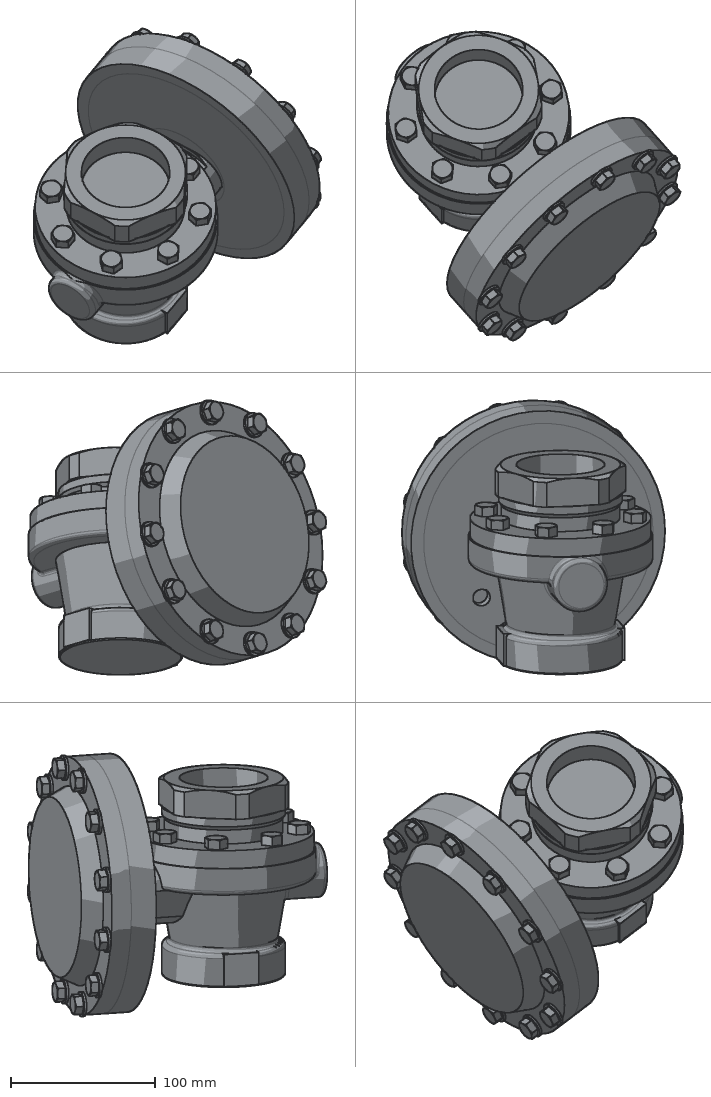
import cadquery as cq
import math


overall_length = 191.9
overall_width = 179.4

valve_half_height = 69.6
body_top_radius = 44.9
body_foot_radius = 37.8
body_foot_z = -42.4
socket_radius = 42.8
socket_top_z = -45.9
socket_round = 3.0
socket_chamfer = 1.0
pad_width = 25.0

flange_joint_z = 19.2
lower_flange_radius = 63.7
lower_flange_round = 3.5
upper_flange_radius = 62.5
upper_flange_top_z = 31.8
flange_bolt_count = 8
flange_bolt_circle_radius = 52.4
flange_bolt_across_corners = 16.1
flange_bolt_height = 7.0

neck_radius = 41.0
collar_taper_start_z = 41.6
collar_taper_end_z = 44.3
nut_bottom_z = 49.9
nut_across_flats = 82.9
nut_corner_radius = 45.3
nut_face_radius = nut_across_flats / 2
bore_radius = 30.5
bore_depth = 16.7

boss_radius = 19.0
boss_end_y = -70.0
boss_end_round = 3.0
boss_root_round = 3.0

actuator_back_y = boss_end_y + overall_length
actuator_rear_y = 108.0
actuator_joint_y = 94.2
actuator_rim_y = 76.0
actuator_face_y = 71.2
actuator_radius = overall_width / 2
actuator_cover_radius = 89.6
dome_foot_radius = 69.3
dome_top_radius = 62.5
cone_outer_radius = 81.0
cone_inner_radius = 34.5
actuator_bolt_count = 12
actuator_bolt_circle_radius = 82.0
actuator_bolt_across_corners = 14.8
actuator_bolt_height = 5.8
washer_radius = 8.6
washer_thickness = 1.7
vent_radius = 6.0
vent_distance = 57.2
vent_angle = math.radians(45)
vent_depth = 11.5

arm_half_width = 33.0
arm_round = 23.0
arm_bottom_radius = 30.0
arm_corner_z = -21.7
arm_clearance_radius = 71.2

hexagon_chamfer_angle = math.radians(30)
flats_per_corners = math.cos(math.pi / 6)


def chamfered_hexagon(across_corners, corner_radius, face_radius, height):
    """Upright hexagon on z = 0 whose corners are turned off and whose top is coned at 30 degrees."""
    cone_drop = (corner_radius - face_radius) * math.tan(hexagon_chamfer_angle)
    turned = (
        cq.Workplane("XZ")
        .polyline([
            (0, 0),
            (corner_radius, 0),
            (corner_radius, height - cone_drop),
            (face_radius, height),
            (0, height),
        ])
        .close()
        .revolve(360, (0, 0, 0), (0, 1, 0))
    )
    return cq.Workplane("XY").polygon(6, across_corners).extrude(height).intersect(turned)


def bolt_head(across_corners, height):
    """Full hexagon with its top coned down to the circle that touches the flats."""
    corner_radius = across_corners / 2
    return chamfered_hexagon(across_corners, corner_radius, corner_radius * flats_per_corners, height)


def make_lower_valve():
    """Lower flange, tapered body, end socket and front boss, blended and cut off at the flange joint."""
    blend_top_z = 2 * flange_joint_z
    socket_shoulder_radius = socket_radius - socket_round
    foot_step = socket_shoulder_radius - body_foot_radius
    foot_drop = body_foot_z - socket_top_z
    foot_blend_radius = (foot_step**2 + foot_drop**2) / (2 * foot_drop)
    shell = (
        cq.Workplane("XZ")
        .moveTo(0, -valve_half_height)
        .lineTo(socket_radius - socket_chamfer, -valve_half_height)
        .lineTo(socket_radius, -valve_half_height + socket_chamfer)
        .lineTo(socket_radius, socket_top_z - socket_round)
        .radiusArc((socket_shoulder_radius, socket_top_z), -socket_round)
        .radiusArc((body_foot_radius, body_foot_z), foot_blend_radius)
        .lineTo(body_top_radius, 0)
        .lineTo(lower_flange_radius - lower_flange_round, 0)
        .radiusArc((lower_flange_radius, lower_flange_round), -lower_flange_round)
        .lineTo(lower_flange_radius, blend_top_z)
        .lineTo(0, blend_top_z)
        .close()
        .revolve(360, (0, 0, 0), (0, 1, 0))
    )
    boss = (
        cq.Workplane("XZ")
        .circle(boss_radius)
        .extrude(-boss_end_y)
        .faces("<Y")
        .edges()
        .fillet(boss_end_round)
    )
    margin = 0.2
    side = boss_radius + margin
    root_zone = cq.selectors.BoxSelector(
        (-side, -lower_flange_radius - margin, -side),
        (side, -body_foot_radius, side),
        boundingbox=True,
    )
    blended = shell.union(boss).edges(root_zone).edges("not |Y").fillet(boss_root_round)
    above_joint = (
        cq.Workplane("XY", origin=(0, 0, flange_joint_z))
        .circle(2 * lower_flange_radius)
        .extrude(blend_top_z)
    )
    return blended.cut(above_joint)


def make_socket_pads():
    """Flat pads on the two sides of the end socket, tangent to its outside."""
    pad_height = socket_top_z + valve_half_height - socket_chamfer
    return (
        cq.Workplane("XY", origin=(0, 0, socket_top_z - pad_height))
        .rect(2 * socket_radius, pad_width)
        .extrude(pad_height)
    )


def make_upper_valve():
    """Upper flange, neck, collar and bored hexagon nut."""
    turned = (
        cq.Workplane("XZ")
        .polyline([
            (0, flange_joint_z),
            (upper_flange_radius, flange_joint_z),
            (upper_flange_radius, upper_flange_top_z),
            (neck_radius, upper_flange_top_z),
            (neck_radius, collar_taper_start_z),
            (socket_radius, collar_taper_end_z),
            (socket_radius, nut_bottom_z),
            (0, nut_bottom_z),
        ])
        .close()
        .revolve(360, (0, 0, 0), (0, 1, 0))
    )
    nut_across_corners = nut_across_flats / flats_per_corners
    nut_height = valve_half_height - nut_bottom_z
    nut = chamfered_hexagon(nut_across_corners, nut_corner_radius, nut_face_radius, nut_height)
    bore = (
        cq.Workplane("XY", origin=(0, 0, valve_half_height - bore_depth))
        .circle(bore_radius)
        .extrude(bore_depth)
    )
    return turned.union(nut.translate((0, 0, nut_bottom_z))).cut(bore)


def make_flange_bolts():
    """Ring of bolt heads straddling the X and Y axes."""
    pitch = 360 / flange_bolt_count
    head = bolt_head(flange_bolt_across_corners, flange_bolt_height)
    first = head.rotate((0, 0, 0), (0, 0, 1), pitch / 2).translate(
        (flange_bolt_circle_radius, 0, upper_flange_top_z)
    )
    return [
        first.rotate((0, 0, 0), (0, 0, 1), (index + 0.5) * pitch)
        for index in range(flange_bolt_count)
    ]


def make_actuator():
    """Round actuator housing with a shallow conical front and a conical cover."""
    housing = (
        cq.Workplane("XY")
        .polyline([
            (0, actuator_face_y),
            (cone_inner_radius, actuator_face_y),
            (cone_outer_radius, actuator_rim_y),
            (actuator_radius, actuator_rim_y),
            (actuator_radius, actuator_joint_y),
            (actuator_cover_radius, actuator_rear_y),
            (dome_foot_radius, actuator_rear_y),
            (dome_top_radius, actuator_back_y),
            (0, actuator_back_y),
        ])
        .close()
        .revolve(360, (0, 0, 0), (0, 1, 0))
    )
    vent = (
        cq.Workplane("XZ", origin=(0, actuator_face_y + vent_depth, 0))
        .center(-vent_distance * math.cos(vent_angle), -vent_distance * math.sin(vent_angle))
        .circle(vent_radius)
        .extrude(vent_depth)
    )
    return housing.cut(vent)


def make_actuator_bolts():
    """Ring of washers and bolt heads on the back of the actuator rim."""
    pitch = 360 / actuator_bolt_count
    washer = cq.Workplane("XY").circle(washer_radius).extrude(washer_thickness)
    head = bolt_head(actuator_bolt_across_corners, actuator_bolt_height)
    bolt = (
        washer.union(head.translate((0, 0, washer_thickness)))
        .rotate((0, 0, 0), (1, 0, 0), -90)
        .translate((0, actuator_rear_y, 0))
    )
    reach = actuator_bolt_circle_radius
    half_pitch = math.radians(pitch / 2)
    first = bolt.translate((reach * math.cos(half_pitch), 0, reach * math.sin(half_pitch)))
    return [
        first.rotate((0, 0, 0), (0, 1, 0), index * pitch)
        for index in range(actuator_bolt_count)
    ]


def make_arm():
    """Arm along Y: rounded top, sides drawn in below the axis, and a relief around the valve flange."""
    corner_x = math.sqrt(arm_bottom_radius**2 - arm_corner_z**2)
    bar = (
        cq.Workplane("XZ")
        .moveTo(-arm_half_width, 0)
        .radiusArc((-arm_half_width + arm_round, arm_round), arm_round)
        .lineTo(arm_half_width - arm_round, arm_round)
        .radiusArc((arm_half_width, 0), arm_round)
        .lineTo(corner_x, arm_corner_z)
        .threePointArc((0, -arm_bottom_radius), (-corner_x, arm_corner_z))
        .close()
        .extrude(-actuator_rim_y)
    )
    relief = (
        cq.Workplane("XY", origin=(0, 0, flange_joint_z))
        .circle(arm_clearance_radius)
        .extrude(arm_round)
    )
    return bar.cut(relief)


result = (
    make_lower_valve()
    .union(make_socket_pads())
    .union(make_upper_valve())
    .union(make_arm())
    .union(make_actuator())
)
for bolt in make_flange_bolts() + make_actuator_bolts():
    result = result.union(bolt)